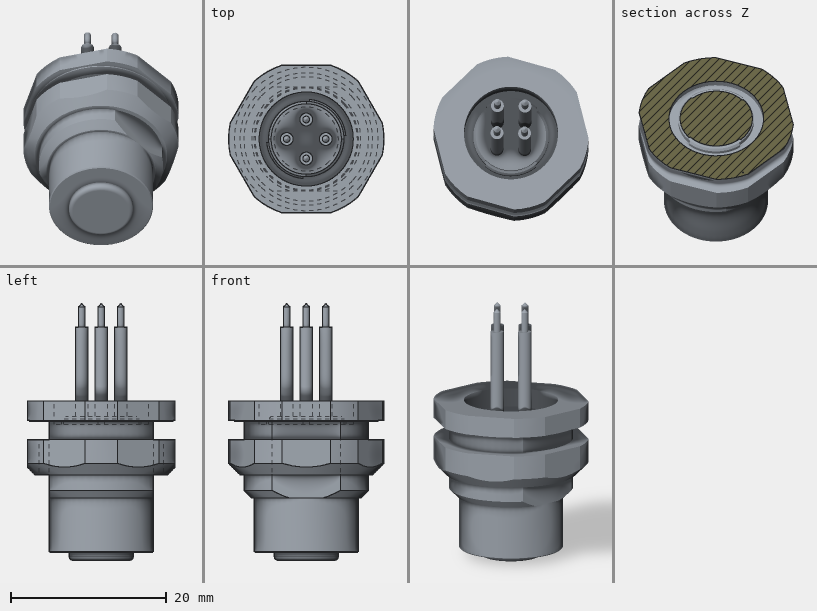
import cadquery as cq
import math

total_height = 33.0
hex_corner_diameter = 20.0
hex_across_flats = 19.0

housing_bottom = 1.02
body_bottom = 8.0
nut_bottom = 11.0
nut_top = 15.5
flange_bottom = 18.0
flange_top = 20.5
jacket_top = 30.0

housing_diameter = 13.4
housing_chamfer = 0.13
body_diameter = 16.0
body_flat_width = housing_diameter
body_chamfer = 1.0

nut_chamfer = 1.5
seat_diameter = 18.48
seat_height = 0.15

plug_diameter = 8.25
plug_fillet = 0.5

recess_diameter = 12.1
recess_depth = 3.0
carrier_core_diameter = 9.05
carrier_ledge_diameter = 9.7
carrier_height = 1.0

inner_ramp_angle = 135
inner_ramp_span = 90
outer_ramp_diameter = 10.2
outer_ramp_angle = 45
outer_ramp_span = 80

wire_count = 4
wire_circle_radius = 2.5
jacket_diameter = 1.65
pin_diameter = 0.85

recess_floor = flange_top - recess_depth
carrier_top = recess_floor + carrier_height
carrier_core_radius = carrier_core_diameter / 2
carrier_ledge_radius = carrier_ledge_diameter / 2
outer_ramp_radius = outer_ramp_diameter / 2
carrier_ledge = carrier_top - (carrier_ledge_radius - carrier_core_radius)
outer_ramp_edge = carrier_ledge - (outer_ramp_radius - carrier_ledge_radius)


def cylinder(diameter, bottom, top):
    """Vertical cylinder on the Z axis between two levels."""
    return cq.Workplane("XY").workplane(offset=bottom).circle(diameter / 2).extrude(top - bottom)


def rounded_hexagon(round_blank, bottom, top):
    """Trim a round blank to a hexagon whose flats face +Y and -Y; its corners stay round."""
    full_corner_diameter = hex_across_flats / math.cos(math.pi / 6)
    prism = (
        cq.Workplane("XY")
        .workplane(offset=bottom)
        .polygon(6, full_corner_diameter)
        .extrude(top - bottom)
    )
    return round_blank.intersect(prism)


def make_flange():
    blank = cylinder(hex_corner_diameter, flange_bottom, flange_top)
    seat = cylinder(seat_diameter, flange_bottom - seat_height, flange_bottom)
    return rounded_hexagon(blank, flange_bottom, flange_top).union(seat)


def make_nut():
    blank = cylinder(hex_corner_diameter, nut_bottom, nut_top).faces("<Z").chamfer(nut_chamfer)
    bore = cylinder(body_diameter, nut_bottom, nut_top)
    return rounded_hexagon(blank, nut_bottom, nut_top).cut(bore)


def make_body():
    round_body = cylinder(body_diameter, body_bottom, flange_bottom).faces("<Z").chamfer(body_chamfer)
    flats = (
        cq.Workplane("XY")
        .workplane(offset=body_bottom)
        .rect(body_diameter, body_flat_width)
        .extrude(flange_bottom - body_bottom)
    )
    return round_body.intersect(flats)


def make_housing():
    housing = cylinder(housing_diameter, housing_bottom, body_bottom).faces("<Z").chamfer(housing_chamfer)
    plug = cylinder(plug_diameter, 0, body_bottom).faces("<Z").edges().fillet(plug_fillet)
    return housing.union(plug)


def ramp_pair(profile, center_angle, span):
    """Two opposite ring sectors: a radius-height profile swept about Z, centered on an angle."""
    sector = cq.Workplane("XZ").polyline(profile).close().revolve(span, (0, 0), (0, 1))
    start_angle = center_angle - span / 2
    first = sector.rotate((0, 0, 0), (0, 0, 1), start_angle)
    second = sector.rotate((0, 0, 0), (0, 0, 1), start_angle + 180)
    return first, second


def make_carrier():
    inner_profile = [
        (carrier_core_radius, carrier_ledge),
        (carrier_ledge_radius, carrier_ledge),
        (carrier_core_radius, carrier_top),
    ]
    outer_profile = [
        (carrier_ledge_radius, recess_floor),
        (outer_ramp_radius, recess_floor),
        (outer_ramp_radius, outer_ramp_edge),
        (carrier_ledge_radius, carrier_ledge),
    ]
    carrier = cylinder(carrier_core_diameter, recess_floor, carrier_top)
    carrier = carrier.union(cylinder(carrier_ledge_diameter, recess_floor, carrier_ledge))
    inner_ramps = ramp_pair(inner_profile, inner_ramp_angle, inner_ramp_span)
    outer_ramps = ramp_pair(outer_profile, outer_ramp_angle, outer_ramp_span)
    for ramp in inner_ramps + outer_ramps:
        carrier = carrier.union(ramp)
    return carrier


def make_wire():
    """Half profile of one wire turned about its own axis."""
    jacket_radius = jacket_diameter / 2
    pin_radius = pin_diameter / 2
    return (
        cq.Workplane("XZ")
        .moveTo(0, recess_floor)
        .lineTo(jacket_radius, recess_floor)
        .lineTo(jacket_radius, jacket_top)
        .lineTo(pin_radius, jacket_top)
        .lineTo(pin_radius, total_height - pin_radius)
        .lineTo(0, total_height)
        .close()
        .revolve(360, (0, 0), (0, 1))
    )


result = make_body().union(make_housing()).union(make_nut()).union(make_flange())
result = result.cut(cylinder(recess_diameter, recess_floor, flange_top))
result = result.union(make_carrier())

for index in range(wire_count):
    angle = 2 * math.pi * index / wire_count
    wire_x = wire_circle_radius * math.cos(angle)
    wire_y = wire_circle_radius * math.sin(angle)
    result = result.union(make_wire().translate((wire_x, wire_y, 0)))